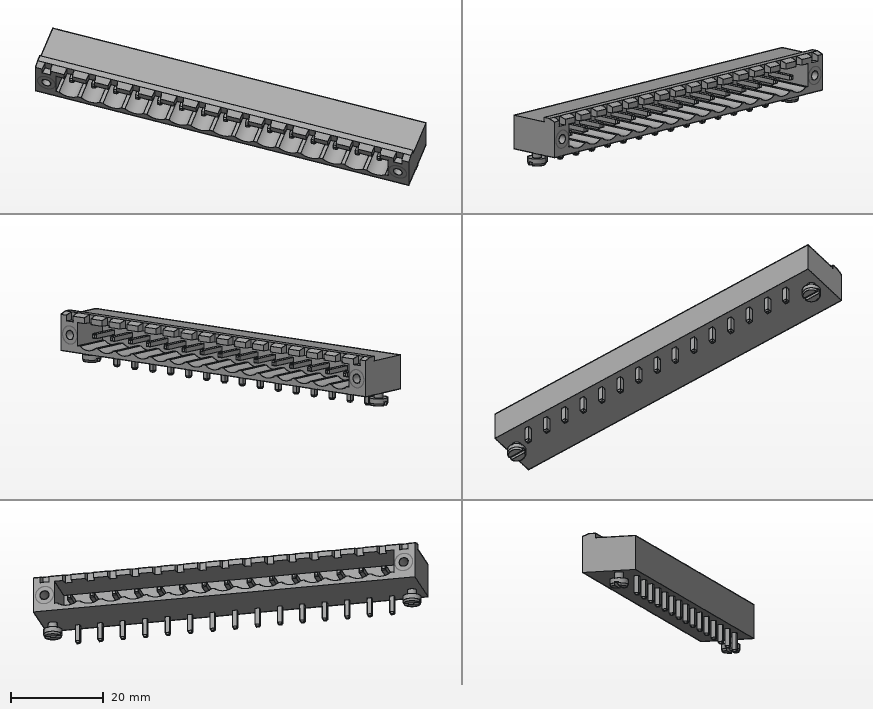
import cadquery as cq
import math

LENGTH = 85.0
DEPTH = 12.0
OVERALL_HEIGHT = 12.6
MAIN_HEIGHT = 7.5
RIDGE_HEIGHT = 8.5
RIDGE_DEPTH = 3.0
BEVEL_DEPTH = 1.5
BEVEL_DROP = 0.55

PITCH = 5.0
CONTACT_COUNT = 15
PIN_SIZE = 1.0
PIN_TIP_LENGTH = 0.4
PIN_TIP_INSET = 0.2
PIN_LEVEL = 3.7
PIN_FRONT = 2.0
PIN_BACK = 10.0
PIN_TAIL = OVERALL_HEIGHT - RIDGE_HEIGHT

CAVITY_LENGTH = 75.6
CAVITY_DEPTH = 8.5
CAVITY_TOP = 6.7
CAVITY_FLOOR = 1.6
SCALLOP_BOTTOM = 0.85
SCALLOP_WIDTH = 4.2

NOTCH_FRONT_WIDTH = 1.9
NOTCH_BACK_WIDTH = 1.5

INSERT_DIAMETER = 4.0
INSERT_HOLE_DIAMETER = 2.0
INSERT_DEPTH = 5.0
SCREW_Y = 7.5
SCREW_SHANK_DIAMETER = 2.0
SCREW_SHANK_LENGTH = 1.5
SCREW_HEAD_DIAMETER = 4.0
SCREW_HEAD_HEIGHT = 1.6
SCREW_HEAD_BEVEL_HEIGHT = 0.5
SCREW_HEAD_BEVEL_INSET = 0.2
SLOT_WIDTH = 0.8
SLOT_DEPTH = 0.8

contact_x = [(i - (CONTACT_COUNT - 1) / 2) * PITCH for i in range(CONTACT_COUNT)]
screw_x = [contact_x[0] - PITCH, contact_x[-1] + PITCH]


def box(x_size, y_size, z_size, x, y, z):
    """Box centred on x, starting at y and z."""
    return cq.Workplane("XY").box(x_size, y_size, z_size, centered=(True, False, False)).translate((x, y, z))


def housing_block():
    """Block with a bevelled ridge along the top of its front edge."""
    side = [
        (0, 0),
        (DEPTH, 0),
        (DEPTH, MAIN_HEIGHT),
        (RIDGE_DEPTH, MAIN_HEIGHT),
        (RIDGE_DEPTH, RIDGE_HEIGHT),
        (BEVEL_DEPTH, RIDGE_HEIGHT),
        (0, RIDGE_HEIGHT - BEVEL_DROP),
    ]
    return cq.Workplane("YZ").polyline(side).close().extrude(LENGTH / 2, both=True)


def cavity():
    """Cavity with one scallop in its floor under each contact."""
    half = CAVITY_LENGTH / 2
    outline = cq.Workplane("XZ").moveTo(-half, CAVITY_TOP).lineTo(-half, CAVITY_FLOOR)
    for x in contact_x:
        outline = outline.lineTo(x - SCALLOP_WIDTH / 2, CAVITY_FLOOR)
        outline = outline.threePointArc((x, SCALLOP_BOTTOM), (x + SCALLOP_WIDTH / 2, CAVITY_FLOOR))
    outline = outline.lineTo(half, CAVITY_FLOOR).lineTo(half, CAVITY_TOP).close()
    return outline.extrude(-CAVITY_DEPTH)


def notch(x):
    """Notch that narrows towards the back, from the cavity roof upwards."""
    front = NOTCH_FRONT_WIDTH / 2
    back = NOTCH_BACK_WIDTH / 2
    plan = [(x - front, 0), (x + front, 0), (x + back, BEVEL_DEPTH), (x - back, BEVEL_DEPTH)]
    return (
        cq.Workplane("XY").workplane(offset=CAVITY_TOP).polyline(plan).close()
        .extrude(RIDGE_HEIGHT - CAVITY_TOP)
    )


def add_tapered_tip(bar, end):
    """Extend a square bar beyond the given end with a tip tapered on all four sides."""
    taper = math.degrees(math.atan2(PIN_TIP_INSET, PIN_TIP_LENGTH))
    return bar.faces(end).wires().toPending().workplane().extrude(PIN_TIP_LENGTH, taper=taper)


def contact_pin(x):
    """Square L-shaped pin with tapered tips."""
    half = PIN_SIZE / 2
    back = PIN_BACK + half
    top = PIN_LEVEL + half
    blade_start = PIN_FRONT + PIN_TIP_LENGTH
    tail_start = PIN_TIP_LENGTH - PIN_TAIL
    blade = box(PIN_SIZE, back - blade_start, PIN_SIZE, x, blade_start, PIN_LEVEL - half)
    tail = box(PIN_SIZE, PIN_SIZE, top - tail_start, x, PIN_BACK - half, tail_start)
    return add_tapered_tip(blade, "<Y").union(add_tapered_tip(tail, "<Z"))


def board_screw(x):
    """Slotted screw below the board face, with its slot along X."""
    shank = SCREW_SHANK_DIAMETER / 2
    head = SCREW_HEAD_DIAMETER / 2
    head_bottom = -SCREW_SHANK_LENGTH - SCREW_HEAD_HEIGHT
    section = [
        (0, 0),
        (shank, 0),
        (shank, -SCREW_SHANK_LENGTH),
        (head, -SCREW_SHANK_LENGTH),
        (head, head_bottom + SCREW_HEAD_BEVEL_HEIGHT),
        (head - SCREW_HEAD_BEVEL_INSET, head_bottom),
        (0, head_bottom),
    ]
    screw = cq.Workplane("XZ").polyline(section).close().revolve(360, (0, 0, 0), (0, 1, 0))
    slot = box(SCREW_HEAD_DIAMETER, SLOT_WIDTH, SLOT_DEPTH, 0, -SLOT_WIDTH / 2, head_bottom)
    return screw.cut(slot).translate((x, SCREW_Y, 0))


def front_cylinder(x, diameter):
    """Cylinder reaching back from the front face at contact level."""
    return cq.Workplane("XZ").center(x, PIN_LEVEL).circle(diameter / 2).extrude(-INSERT_DEPTH)


result = housing_block().cut(cavity())
for x in screw_x + contact_x:
    result = result.cut(notch(x))
for x in contact_x:
    result = result.union(contact_pin(x))
for x in screw_x:
    result = result.union(board_screw(x))

for x in screw_x:
    insert = front_cylinder(x, INSERT_DIAMETER).cut(front_cylinder(x, INSERT_HOLE_DIAMETER))
    result = result.cut(front_cylinder(x, INSERT_DIAMETER), clean=False).union(insert, clean=False)